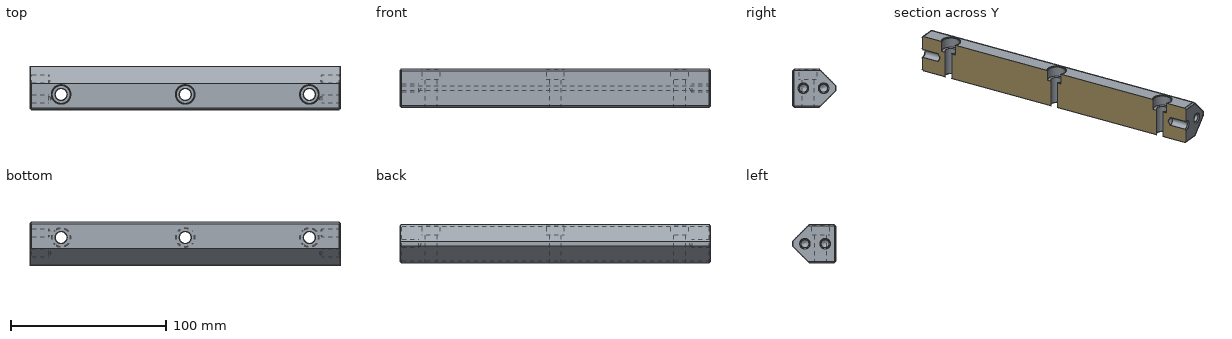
import cadquery as cq
import math

length = 200.0
depth = 28.0
height = 25.0

slope_depth = 11.0
shoulder_y = depth - slope_depth

long_edge_chamfer = 1.5
end_edge_chamfer = 1.0

screw_hole_diameter = 7.5
screw_hole_y = 10.0
screw_hole_pitch = 80.0
screw_hole_count = 3
counterbore_diameter = 11.5
counterbore_depth = 7.0

end_hole_diameter = 5.2
end_hole_depth = 12.0
end_hole_ys = (7.0, 20.0)
end_hole_z = height / 2
drill_point_angle = 118.0

counterbore_chamfer = 0.5
end_hole_chamfer = 0.8


def make_bar():
    """Extrude the pointed section along X, then chamfer the front, top and bottom edges."""
    bar = (
        cq.Workplane("YZ")
        .moveTo(0, 0)
        .lineTo(shoulder_y, 0)
        .lineTo(depth, slope_depth)
        .lineTo(depth, height - slope_depth)
        .lineTo(shoulder_y, height)
        .lineTo(0, height)
        .close()
        .extrude(length)
    )
    bar = bar.faces("<Y").edges("|X").chamfer(long_edge_chamfer)
    return bar.intersect(end_chamfer_envelope())


def end_chamfer_envelope():
    """Box with chamfered ends; it runs past the rear so that the slopes keep sharp ends."""
    envelope_depth = 2 * depth
    box = cq.Workplane("XY").box(length, envelope_depth, height, centered=False)
    end_edges = box.faces("<X or >X").edges("<Y or |Y")
    return end_edges.chamfer(end_edge_chamfer)


def chamfered_bore(diameter, bore_depth, mouth_chamfer, point_length=0.0):
    """Bore along -Z with its mouth at the origin, a chamfered rim and an optional conical point."""
    radius = diameter / 2
    half_section = (
        cq.Workplane("XZ")
        .moveTo(0, 0)
        .lineTo(radius + mouth_chamfer, 0)
        .lineTo(radius, -mouth_chamfer)
        .lineTo(radius, -bore_depth)
        .lineTo(0, -bore_depth - point_length)
        .close()
    )
    return half_section.revolve(360, (0, 0, 0), (0, 1, 0))


def make_screw_hole_cutter():
    """Through hole and counterbore, with the mouth at the origin."""
    through_hole = cq.Workplane("XY").circle(screw_hole_diameter / 2).extrude(-height)
    counterbore = chamfered_bore(counterbore_diameter, counterbore_depth, counterbore_chamfer)
    return through_hole.union(counterbore)


def make_end_hole_cutter():
    """Drilled blind hole, entering the X = 0 end along +X."""
    half_angle = math.radians(drill_point_angle / 2)
    point_length = end_hole_diameter / 2 / math.tan(half_angle)
    cutter = chamfered_bore(end_hole_diameter, end_hole_depth, end_hole_chamfer, point_length)
    return cutter.rotate((0, 0, 0), (0, 1, 0), -90)


result = make_bar()

screw_hole_cutter = make_screw_hole_cutter()
first_screw_hole_x = (length - screw_hole_pitch * (screw_hole_count - 1)) / 2
for index in range(screw_hole_count):
    hole_x = first_screw_hole_x + index * screw_hole_pitch
    result = result.cut(screw_hole_cutter.translate((hole_x, screw_hole_y, height)))

near_end_cutter = make_end_hole_cutter()
far_end_cutter = near_end_cutter.mirror("YZ").translate((length, 0, 0))
for hole_y in end_hole_ys:
    for cutter in (near_end_cutter, far_end_cutter):
        result = result.cut(cutter.translate((0, hole_y, end_hole_z)))